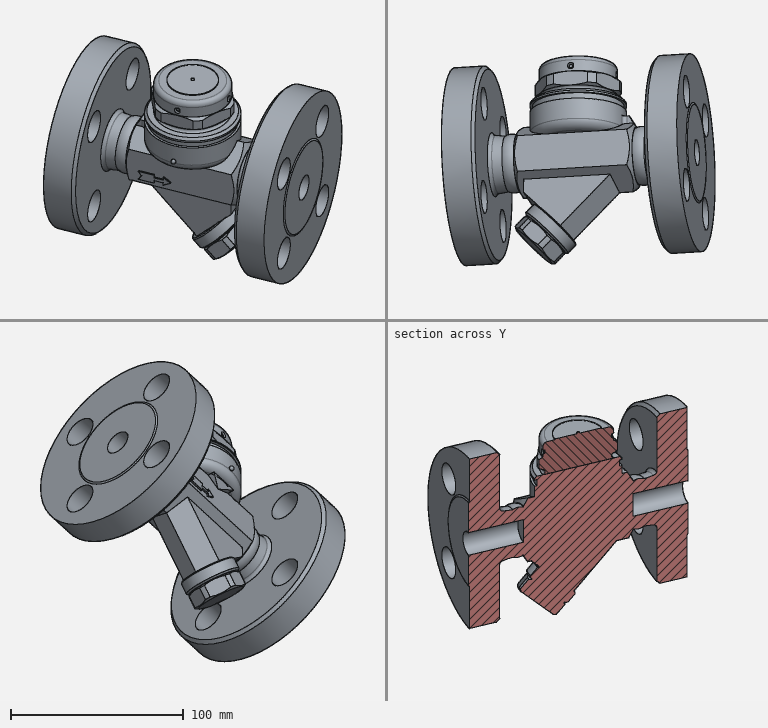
import cadquery as cq
import math

length = 140.0
half_length = length / 2
flange_diameter = 115.0
flange_back = 50.0
flange_chamfer = 2.0
raised_face_diameter = 56.0
raised_face_base_diameter = 58.2
raised_face_height = 0.5
bolt_hole_diameter = 19.0
bolt_offset = 28.3
bore_diameter = 15.0
neck_root_radius = 18.6
neck_flare_x = 47.7
flare_middle_x = 49.1
flare_middle_radius = 17.5
weld_radius = 17.0
waist_x = 41.9
waist_radius = 16.2
bead_diameter = 34.3
bead_end_radius = 16.4

bar_half_length = 35.0
bar_flats = 37.4
bar_corner = bar_flats / math.sqrt(3)
bar_eave = bar_corner / 2
bar_end_radius = 16.8
bar_end_depth = 2.8
cone_slope = (bar_corner - bar_end_radius) / bar_end_depth
boss_top = 23.2
boss_half_width = 5.0
boss_fillet = 2.8

cup_diameter = 56.0
cup_bottom = bar_eave
cup_bottom_fillet = 5.5
groove_diameter = 53.0
groove_bottom = 28.5
groove_top = 32.3
rim_edge = 33.5
cup_top = 35.0
nub_diameter = 3.0
nub_y = -28.5
nub_z = 17.6
gusset_half_width = 9.2
gusset_depth = 4.0
gusset_reach = 4.2

arm_angle = 45.0
arm_drop = 17.5
arm_flats = 26.0
arm_corner = arm_flats / math.sqrt(3)
arm_end = 36.5
arm_root_z = 12.6
arm_right_x = 29.7
collar_diameter = 34.0
collar_end = 44.8
collar_start_chamfer = 0.7
collar_end_chamfer = 1.1
plug_flats = 30.0
plug_corner_diameter = 32.8
plug_end = 54.6
plug_chamfer = 1.1

arrow_z = -5.3
arrow_relief = 1.0
arrow_half_height = 2.8
shaft_half_height = 1.0
arrow_tail_x = -25.9
arrow_notch_x = -24.0
shaft_start_x = -16.0
head_start_x = -10.2
arrow_tip_x = -5.6

cap_diameter = 45.5
cap_neck_radius = 22.7
cap_neck_waist_radius = 21.4
nut_bottom = 38.2
nut_top = 46.9
nut_flats = 45.9
nut_corner_diameter = 50.1
nut_chamfer = 1.3
cap_top = 56.7
cap_fillet = 3.1
disc_diameter = 30.0
disc_height = 0.5
pip_radius = 1.0
cap_hole_diameter = 2.1
cap_hole_depth = 1.4
cap_countersink_diameter = 3.8
cap_hole_z = 50.1
cap_hole_count = 4


def cone_ended_cylinder(radius, start, end, start_chamfer, end_chamfer, slope=1.0):
    """Cylinder along Z whose end cones have the given axial depth and radial-to-axial slope."""
    profile = [
        (0, start),
        (radius - slope * start_chamfer, start),
        (radius, start + start_chamfer),
        (radius, end - end_chamfer),
        (radius - slope * end_chamfer, end),
        (0, end),
    ]
    return cq.Workplane("XZ").polyline(profile).close().revolve(360, (0, 0, 0), (0, 1, 0))


def hexagon_nut(flats, corner_diameter, bottom, top, chamfer):
    """Hexagonal nut along Z with two flats facing +-Y, rounded corners and end cones."""
    prism = (
        cq.Workplane("XY")
        .workplane(offset=bottom)
        .polygon(6, flats / math.cos(math.pi / 6))
        .extrude(top - bottom)
    )
    turned = cone_ended_cylinder(
        corner_diameter / 2, bottom, top, chamfer, chamfer, math.sqrt(3)
    )
    return prism.intersect(turned)


def pipe_end():
    """Flange, raised face and neck on the -X side, with bolt holes."""
    flange_radius = flange_diameter / 2
    flange_front = half_length - raised_face_height
    bead_middle = (waist_x + bar_half_length) / 2
    pipe = (
        cq.Workplane("XY")
        .moveTo(-half_length, 0)
        .lineTo(-half_length, raised_face_diameter / 2)
        .lineTo(-flange_front, raised_face_base_diameter / 2)
        .lineTo(-flange_front, flange_radius)
        .lineTo(-flange_back - flange_chamfer, flange_radius)
        .lineTo(-flange_back, flange_radius - flange_chamfer)
        .lineTo(-flange_back, neck_root_radius)
        .threePointArc((-flare_middle_x, flare_middle_radius), (-neck_flare_x, weld_radius))
        .lineTo(-waist_x, waist_radius)
        .threePointArc((-bead_middle, bead_diameter / 2), (-bar_half_length, bead_end_radius))
        .lineTo(-bar_half_length, 0)
        .close()
        .revolve(360, (0, 0, 0), (1, 0, 0))
    )
    bolt_holes = (
        cq.Workplane("YZ")
        .workplane(offset=-half_length)
        .rect(2 * bolt_offset, 2 * bolt_offset, forConstruction=True)
        .vertices()
        .circle(bolt_hole_diameter / 2)
        .extrude(half_length - flange_back)
    )
    bore = (
        cq.Workplane("YZ")
        .workplane(offset=-half_length)
        .circle(bore_diameter / 2)
        .extrude(half_length - bar_half_length)
    )
    return pipe.cut(bolt_holes).cut(bore)


def hexagon_bar():
    """Hexagonal bar along X with a boss at its upper -X end, both trimmed by the end cones."""
    corners = [
        (bar_corner * math.sin(math.radians(60 * i)), bar_corner * math.cos(math.radians(60 * i)))
        for i in range(6)
    ]
    bar = (
        cq.Workplane("YZ")
        .workplane(offset=-bar_half_length)
        .polyline(corners)
        .close()
        .extrude(2 * bar_half_length)
    )
    boss = cq.Workplane("XY").box(
        bar_half_length, 2 * boss_half_width, boss_top, centered=(False, True, False)
    ).translate((-bar_half_length, 0, 0))
    trim_radius = boss_top + boss_half_width
    trim_depth = (trim_radius - bar_end_radius) / cone_slope
    trim = cone_ended_cylinder(
        trim_radius, -bar_half_length, bar_half_length, trim_depth, trim_depth, cone_slope
    ).rotate((0, 0, 0), (0, 1, 0), 90)
    return bar.union(boss).intersect(trim)


def cup():
    """Round cup with rounded bottom, retaining groove, and chamfered rim."""
    radius = cup_diameter / 2
    groove_radius = groove_diameter / 2
    fillet_45 = cup_bottom_fillet * (1 - math.sqrt(0.5))
    return (
        cq.Workplane("XZ")
        .moveTo(0, cup_bottom)
        .lineTo(radius - cup_bottom_fillet, cup_bottom)
        .threePointArc(
            (radius - fillet_45, cup_bottom + fillet_45),
            (radius, cup_bottom + cup_bottom_fillet),
        )
        .lineTo(radius, groove_bottom)
        .lineTo(groove_radius, groove_bottom)
        .lineTo(groove_radius, groove_top)
        .lineTo(radius, groove_top)
        .lineTo(radius, rim_edge)
        .lineTo(groove_radius, cup_top)
        .lineTo(0, cup_top)
        .close()
        .revolve(360, (0, 0, 0), (0, 1, 0))
    )


def fillet_boss(body):
    """Round the two upright corners where the boss sides meet the cup."""
    margin = boss_half_width / 2
    corner_x = -math.sqrt((cup_diameter / 2) ** 2 - boss_half_width**2)
    corners = cq.selectors.BoxSelector(
        (corner_x - margin, -boss_half_width - margin, bar_eave),
        (corner_x + margin, boss_half_width + margin, boss_top + margin),
    )
    return body.edges("|Z").edges(corners).fillet(boss_fillet)


def gusset():
    """Pointed web under the cup, tapering down the front of the bar."""
    bar_front = -bar_flats / 2
    tip_z = cup_bottom - gusset_depth
    wedge = (
        cq.Workplane("XZ")
        .polyline([(-gusset_half_width, cup_bottom), (gusset_half_width, cup_bottom), (0, tip_z)])
        .close()
        .extrude(-bar_front + gusset_reach)
    )
    keep = (
        cq.Workplane("YZ")
        .workplane(offset=-gusset_half_width)
        .polyline([
            (0, cup_bottom),
            (bar_front - gusset_reach, cup_bottom),
            (bar_front, tip_z),
            (0, tip_z),
        ])
        .close()
        .extrude(2 * gusset_half_width)
    )
    return wedge.intersect(keep)


def along_arm(shape):
    """Move a shape built along +Z so that it lies on the axis of the strainer arm."""
    shift = arm_drop / math.sqrt(2)
    turned = shape.rotate((0, 0, 0), (0, 1, 0), 180 - arm_angle)
    return turned.translate((-shift, 0, -shift))


def strainer_arm():
    """Web below the bar: flat sides, a two-sided roof along its lower edge, square end."""
    root_2 = math.sqrt(2)
    lower_edge = arm_drop + arm_corner
    side = [
        (arm_root_z - lower_edge * root_2, -arm_root_z),
        ((arm_end - lower_edge) / root_2, -(arm_end + lower_edge) / root_2),
        (arm_right_x, arm_right_x - arm_end * root_2),
        (arm_right_x, -arm_root_z),
    ]
    web = cq.Workplane("XZ").polyline(side).close().extrude(arm_flats / 2, both=True)
    flat_start = arm_corner / 2
    section = [
        (arm_corner, 0),
        (flat_start, -arm_flats / 2),
        (-length, -arm_flats / 2),
        (-length, arm_flats / 2),
        (flat_start, arm_flats / 2),
    ]
    roof = cq.Workplane("XY").polyline(section).close().extrude(half_length, both=True)
    return web.intersect(along_arm(roof))


def strainer_plug():
    """Round collar and hexagonal head at the end of the arm."""
    collar = cone_ended_cylinder(
        collar_diameter / 2, arm_end, collar_end, collar_start_chamfer, collar_end_chamfer
    )
    head = hexagon_nut(plug_flats, plug_corner_diameter, collar_end, plug_end, plug_chamfer)
    return along_arm(collar.union(head))


def flow_arrow():
    """Raised arrow pointing to +X on the front of the bar."""
    upper = [
        (arrow_tail_x, arrow_half_height),
        (shaft_start_x, arrow_half_height),
        (shaft_start_x, shaft_half_height),
        (head_start_x, shaft_half_height),
        (head_start_x, arrow_half_height),
    ]
    lower = [(x, -z) for x, z in reversed(upper)]
    outline = upper + [(arrow_tip_x, 0)] + lower + [(arrow_notch_x, 0)]
    return (
        cq.Workplane("XZ", origin=(0, 0, arrow_z))
        .polyline(outline)
        .close()
        .extrude(bar_flats / 2 + arrow_relief)
    )


def valve_body():
    """Flanged body with cup, strainer arm and plug as one solid."""
    inlet = pipe_end()
    body = fillet_boss(hexagon_bar().union(cup()))
    body = body.union(gusset()).union(strainer_arm()).union(strainer_plug())
    body = body.union(flow_arrow())
    body = body.union(inlet).union(inlet.mirror("YZ"))
    nub = cq.Workplane("XY").sphere(nub_diameter / 2).translate((0, nub_y, nub_z))
    return body.union(nub)


def valve_cap():
    """Screwed cap: neck, hexagon, round top with a raised disc, pip and countersunk side holes."""
    radius = cap_diameter / 2
    neck = (
        cq.Workplane("XZ")
        .moveTo(0, cup_top)
        .lineTo(cap_neck_radius, cup_top)
        .threePointArc(
            (cap_neck_waist_radius, (cup_top + nut_bottom) / 2), (cap_neck_radius, nut_bottom)
        )
        .lineTo(0, nut_bottom)
        .close()
        .revolve(360, (0, 0, 0), (0, 1, 0))
    )
    nut = hexagon_nut(nut_flats, nut_corner_diameter, nut_bottom, nut_top, nut_chamfer)
    crown = (
        cq.Workplane("XY")
        .workplane(offset=nut_top)
        .circle(radius)
        .extrude(cap_top - nut_top)
        .faces(">Z")
        .edges()
        .fillet(cap_fillet)
    )
    disc_top = cap_top + disc_height
    disc = cq.Workplane("XY").workplane(offset=cap_top).circle(disc_diameter / 2).extrude(disc_height)
    pip = cq.Workplane("XY").sphere(pip_radius).translate((0, 0, disc_top))
    cap = neck.union(nut).union(crown).union(disc).union(pip)
    hole_radius = cap_hole_diameter / 2
    countersink_radius = cap_countersink_diameter / 2
    countersink_depth = countersink_radius - hole_radius
    hole = (
        cq.Workplane("XY", origin=(0, -radius, cap_hole_z))
        .polyline([
            (0, cap_hole_depth),
            (hole_radius, cap_hole_depth),
            (hole_radius, countersink_depth),
            (countersink_radius, 0),
            (countersink_radius, -cap_hole_depth),
            (0, -cap_hole_depth),
        ])
        .close()
        .revolve(360, (0, 0, 0), (0, 1, 0))
    )
    for i in range(cap_hole_count):
        cap = cap.cut(hole.rotate((0, 0, 0), (0, 0, 1), i * 360 / cap_hole_count))
    return cap


body = valve_body()
cap = valve_cap()
result = cq.Compound.makeCompound([body.solids().val(), cap.solids().val()])